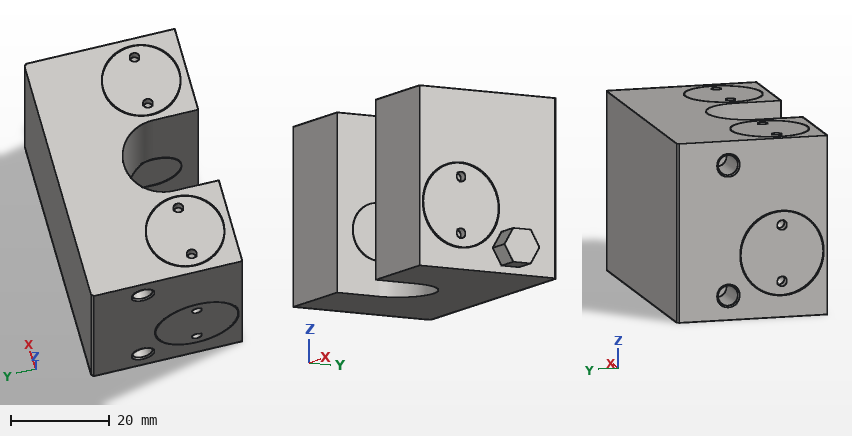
import cadquery as cq
import math

overall_length = 59.0
block_length = 54.0
block_depth = 31.5
block_height = 37.0
back_chamfer = 0.5
end_x = block_length / 2

slot_width = 16.4
slot_radius = slot_width / 2
cavity_y = 9.5

pad_diameter = 11.9
pad_face_x = 8.0
pad_embed = 0.6
pad_z = 13.2

end_cover_diameter = 17.3
end_recess_diameter = 17.5
end_spanner_spacing = 11.6
top_cover_diameter = 15.8
top_recess_diameter = 16.0
top_spanner_spacing = 10.7
top_cover_x = end_x - cavity_y
gap_depth = 0.3
spanner_hole_diameter = 2.0
spanner_hole_depth = 2.0

port_diameter = 4.15
port_mouth_diameter = 4.8
port_depth = 8.85
port_y = 20.75
port_edge_offset = 5.0

hex_across_corners = 8.0
hex_length = overall_length - block_length

drill_point_angle = 118


def drill(center, direction, diameter, depth):
    """Blind drilled hole with a conical bottom."""
    radius = diameter / 2
    tip = radius / math.tan(math.radians(drill_point_angle / 2))
    axis = cq.Vector(*direction)
    start = cq.Vector(*center)
    bore = cq.Solid.makeCylinder(radius, depth, start, axis)
    point = cq.Solid.makeCone(radius, 0, tip, start + axis * depth, axis)
    return cq.Workplane(bore.fuse(point))


def cover_gap(center, direction, cover_diameter, recess_diameter):
    """Narrow ring gap between a flush cover and its recess."""
    start = cq.Vector(*center)
    axis = cq.Vector(*direction)
    recess = cq.Solid.makeCylinder(recess_diameter / 2, gap_depth, start, axis)
    cover = cq.Solid.makeCylinder(cover_diameter / 2, gap_depth, start, axis)
    return cq.Workplane(recess.cut(cover))


def make_block():
    block = cq.Workplane("XY").box(block_length, block_depth, block_height, centered=(True, False, False))
    block = block.edges("|Z and >Y").chamfer(back_chamfer)
    slot = (
        cq.Workplane("XY")
        .moveTo(-slot_radius, 0)
        .lineTo(-slot_radius, cavity_y)
        .threePointArc((0, cavity_y + slot_radius), (slot_radius, cavity_y))
        .lineTo(slot_radius, 0)
        .close()
        .extrude(block_height)
    )
    return block.cut(slot)


def pad_cylinder(inner_x, outer_x):
    return (
        cq.Workplane("YZ", origin=(inner_x, cavity_y, pad_z))
        .circle(pad_diameter / 2)
        .extrude(outer_x - inner_x)
    )


def add_pads(body):
    body = body.cut(pad_cylinder(-pad_face_x, pad_face_x))
    for side in (-1, 1):
        body = body.union(pad_cylinder(side * pad_face_x, side * (slot_radius + pad_embed)))
    return body


def cut_end_covers(body):
    for side in (-1, 1):
        inward = (-side, 0, 0)
        center = (side * end_x, cavity_y, pad_z)
        body = body.cut(cover_gap(center, inward, end_cover_diameter, end_recess_diameter))
        for offset in (-end_spanner_spacing / 2, end_spanner_spacing / 2):
            hole_center = (side * end_x, cavity_y, pad_z + offset)
            body = body.cut(drill(hole_center, inward, spanner_hole_diameter, spanner_hole_depth))
    return body


def cut_top_covers(body):
    down = (0, 0, -1)
    for x in (-top_cover_x, top_cover_x):
        center = (x, cavity_y, block_height)
        body = body.cut(cover_gap(center, down, top_cover_diameter, top_recess_diameter))
        for offset in (-top_spanner_spacing / 2, top_spanner_spacing / 2):
            hole_center = (x + offset, cavity_y, block_height)
            body = body.cut(drill(hole_center, down, spanner_hole_diameter, spanner_hole_depth))
    return body


def cut_ports(body):
    mouth_depth = (port_mouth_diameter - port_diameter) / 2
    inward = cq.Vector(1, 0, 0)
    for z in (port_edge_offset, block_height - port_edge_offset):
        start = cq.Vector(-end_x, port_y, z)
        bore = cq.Solid.makeCylinder(port_diameter / 2, port_depth, start, inward)
        mouth = cq.Solid.makeCone(port_mouth_diameter / 2, port_diameter / 2, mouth_depth, start, inward)
        body = body.cut(cq.Workplane(bore)).cut(cq.Workplane(mouth))
    return body


def make_fitting():
    return (
        cq.Workplane("YZ", origin=(end_x, port_y, port_edge_offset))
        .polygon(6, hex_across_corners)
        .extrude(hex_length)
    )


result = make_block()
result = add_pads(result)
result = cut_end_covers(result)
result = cut_top_covers(result)
result = cut_ports(result)
result = result.union(make_fitting())